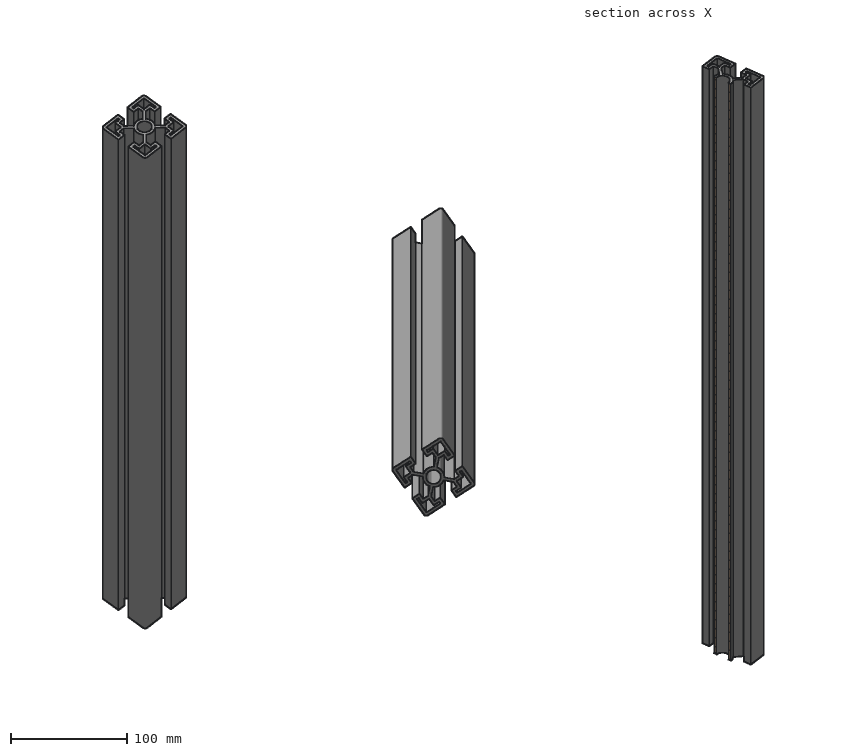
import cadquery as cq
import math

WIDTH_X = 52.13
WIDTH_Y = 52.39
LENGTH = 609.6

OUTER_WALL = 2.95
INNER_WALL = 2.75
WEB = 2.75
WEB_ANGLE = 45

SLOT_HALF_WIDTH = 5.8
LIP_GAP = 1.85
HOLLOW_START = 14.3
CORNER_RADIUS = 2.4

BORE_DIAMETER = 12.66
CORE_WALL = 2.86
CORE_DIAMETER = BORE_DIAMETER + 2 * CORE_WALL

QUADRANTS = [(1, 1), (-1, 1), (-1, -1), (1, -1)]


def bar(x_range, y_range):
    """Full-length rectangular bar between two X and two Y limits."""
    x_size = x_range[1] - x_range[0]
    y_size = y_range[1] - y_range[0]
    corner = cq.Workplane("XY").moveTo(x_range[0], y_range[0])
    return corner.rect(x_size, y_size, centered=False).extrude(LENGTH)


def l_shaped_bar(start, arm_start, arm_depth, outer_x, outer_y):
    """Square bar in the +X +Y corner with an arm along each outer side, reaching in to arm_start."""
    square = bar((start, outer_x), (start, outer_y))
    arm_along_x = bar((arm_start, outer_x), (outer_y - arm_depth, outer_y))
    arm_along_y = bar((outer_x - arm_depth, outer_x), (arm_start, outer_y))
    return square.union(arm_along_x).union(arm_along_y)


def hollow_corner():
    """Corner box of the +X +Y quadrant with its two hollow lips."""
    outer_x = WIDTH_X / 2
    outer_y = WIDTH_Y / 2
    lip_depth = OUTER_WALL + LIP_GAP + INNER_WALL
    body = l_shaped_bar(HOLLOW_START - INNER_WALL, SLOT_HALF_WIDTH, lip_depth, outer_x, outer_y)
    body = body.edges("|Z").edges(">(1, 1, 0)").fillet(CORNER_RADIUS)
    hollow = l_shaped_bar(
        HOLLOW_START,
        SLOT_HALF_WIDTH + OUTER_WALL,
        LIP_GAP,
        outer_x - OUTER_WALL,
        outer_y - OUTER_WALL,
    )
    return body.cut(hollow)


def diagonal_web():
    """Web from the centre to the +X +Y corner box, ending inside the wall of that box."""
    reach = (HOLLOW_START - INNER_WALL / 2) * math.sqrt(2)
    web = bar((0, reach), (-WEB / 2, WEB / 2))
    return web.rotate((0, 0, 0), (0, 0, 1), WEB_ANGLE)


def mirrored_to_quadrant(corner, x_side, y_side):
    """Mirror the +X +Y corner into the given quadrant."""
    if x_side < 0:
        corner = corner.mirror("YZ")
    if y_side < 0:
        corner = corner.mirror("XZ")
    return corner


corner_arm = diagonal_web().union(hollow_corner())
result = cq.Workplane("XY").circle(CORE_DIAMETER / 2).extrude(LENGTH)
for x_sign, y_sign in QUADRANTS:
    result = result.union(mirrored_to_quadrant(corner_arm, x_sign, y_sign))

bore = cq.Workplane("XY").circle(BORE_DIAMETER / 2).extrude(LENGTH)
result = result.cut(bore).clean()